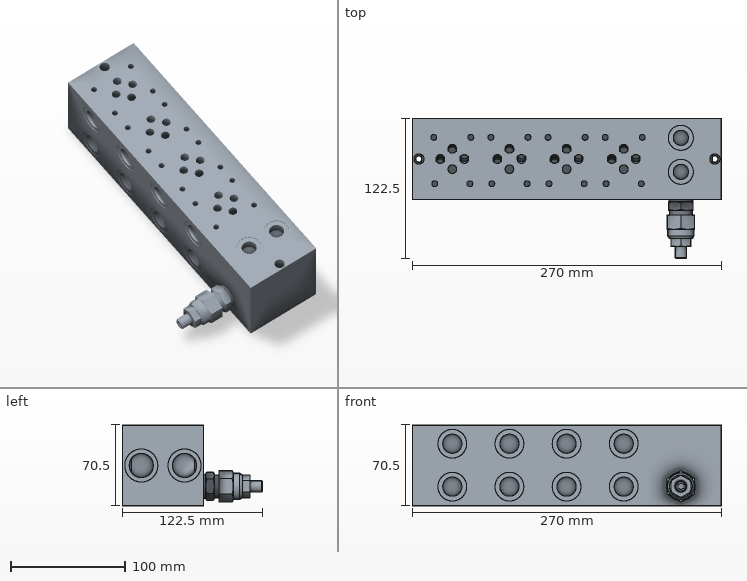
import cadquery as cq
import math

LENGTH = 270.0
DEPTH = 71.0
HEIGHT = 70.5
OVERALL_DEPTH = 122.5
VALVE_REACH = OVERALL_DEPTH - DEPTH
MID_Y = DEPTH / 2
MID_Z = HEIGHT / 2

STATION_PITCH = 50.0
FIRST_STATION_X = 34.8
VALVE_STATIONS = [FIRST_STATION_X + i * STATION_PITCH for i in range(4)]
RELIEF_X = FIRST_STATION_X + 4 * STATION_PITCH
RELIEF_Z = 17.0

SPOTFACE_DEPTH = 0.5
FRONT_PORT_D = 16.7
FRONT_SPOTFACE_D = 25.0
FRONT_PORT_DEPTH = 8.0
FRONT_PORT_ROWS = (16.7, 54.3)
END_PORT_D = 21.0
END_SPOTFACE_D = 29.0
END_PORT_DEPTH = 8.6
END_PORT_OFFSET = 19.0
END_POCKET_OFFSET = 8.6
END_POCKET_DEPTH = 13.5
TOP_PORT_D = 13.2
TOP_SPOTFACE_D = 22.0
TOP_PORT_DEPTH = 8.6
TOP_PORT_OFFSET = 14.8
TOP_PORT_MID_Y = 39.2

PASSAGE_D = 7.5
PASSAGE_DEPTH = 14.8
SUPPLY_OFFSET = 9.0
WORK_OFFSET = 10.5
SUPPLY_SHIFT = 2.2
KNEE_DEPTH = 9.5
KNEE_SHIFT = 2.0
LOWER_SHIFT = 2.2
SCREW_D = 5.0
SCREW_DEPTH = 13.5
REAR_SCREW = (16.2, 19.0)
FRONT_SCREW = (15.5, -21.5)

MOUNT_INSET = 5.7
MOUNT_BORE_D = 9.0
MOUNT_HOLE_D = 5.5
MOUNT_BORE_DEPTH = 40.5
MOUNT_STEP = 5.5
MOUNT_FLAT_OFFSET = 2.2

COLLAR_D = 21.0
LOCKNUT_START = 1.5
LOCKNUT_END = 9.7
LOCKNUT_CORNERS = 24.8
LOCKNUT_FACE_D = 20.5
BEVEL_ANGLE = math.radians(30)
NECK_D = 20.0
BODY_START = 13.5
BODY_HEX_END = 26.2
BODY_CORNERS = 27.5
SLEEVE_D = 23.2
SLEEVE_END = 31.5
CONE_END_D = 20.0
CAP_START = 34.0
CAP_END = 40.8
CAP_CORNERS = 20.0
CAP_FACE_D = 18.5
STEM_D = 10.0
STEM_CHAMFER = 0.8
SOCKET_CORNERS = 6.0
SOCKET_DEPTH = 3.2


def port(origin, inward, bore_d, bore_depth, spotface_d):
    """Blind bore with a shallow spotface around its mouth."""
    mouth = cq.Workplane(cq.Plane(origin=origin, normal=inward))
    bore = mouth.circle(bore_d / 2).extrude(bore_depth)
    return bore.union(mouth.circle(spotface_d / 2).extrude(SPOTFACE_DEPTH))


def vertical_hole(x, y, diameter, depth):
    """Cylinder going down from the top face."""
    top = cq.Workplane("XY", origin=(x, y, HEIGHT - depth))
    return top.circle(diameter / 2).extrude(depth)


def slanted_bore(x, y, top_z, depth, shift):
    """Round bore leaning by shift along Y over its depth, level at both ends."""
    axis = cq.Vector(0, shift, -depth)
    start = cq.Vector(x, y, top_z) - axis
    drill = cq.Solid.makeCylinder(PASSAGE_D / 2, 3 * axis.Length, start, axis)
    slab = cq.Workplane("XY", origin=(x, y, top_z - depth)).circle(2 * PASSAGE_D).extrude(depth)
    return slab.intersect(cq.Workplane(drill))


def work_passage(x, side):
    """Leaning passage that bends to a stronger lean below its knee."""
    lower_depth = PASSAGE_DEPTH - KNEE_DEPTH
    upper = slanted_bore(x, MID_Y, HEIGHT, KNEE_DEPTH, side * KNEE_SHIFT)
    knee_y = MID_Y + side * KNEE_SHIFT
    lower = slanted_bore(x, knee_y, HEIGHT - KNEE_DEPTH, lower_depth, side * LOWER_SHIFT)
    return upper.union(lower)


def end_port(side):
    """Gallery port on the left end; its outer edge is cut deeper behind a flat."""
    y = MID_Y + side * END_PORT_OFFSET
    opening = port((0, y, MID_Z), (1, 0, 0), END_PORT_D, END_PORT_DEPTH, END_SPOTFACE_D)
    edge_width = END_PORT_D / 2 - END_POCKET_OFFSET
    edge = cq.Workplane().box(END_POCKET_DEPTH, edge_width, END_PORT_D).translate(
        (END_POCKET_DEPTH / 2, y + side * (END_POCKET_OFFSET + edge_width / 2), MID_Z)
    )
    pocket = cq.Workplane("YZ", origin=(0, y, MID_Z)).circle(END_PORT_D / 2).extrude(END_POCKET_DEPTH)
    return opening.union(pocket.intersect(edge))


def mounting_hole(x, inner_side):
    """Counterbored through hole with a ledge on the side towards the block centre."""
    ledge_depth = MOUNT_BORE_DEPTH - MOUNT_STEP
    stepped = vertical_hole(x, MID_Y, MOUNT_BORE_D, MOUNT_BORE_DEPTH)
    stepped = stepped.union(vertical_hole(x, MID_Y, MOUNT_HOLE_D, HEIGHT))
    ledge_x = x + inner_side * (MOUNT_FLAT_OFFSET + MOUNT_BORE_D / 2)
    ledge_height = HEIGHT - ledge_depth
    ledge = cq.Workplane("XY", origin=(ledge_x, MID_Y, 0)).rect(MOUNT_BORE_D, 2 * MOUNT_BORE_D)
    return stepped.cut(ledge.extrude(ledge_height))


def valve_pattern(x):
    """Passages and screw holes for one directional valve."""
    cutter = slanted_bore(x, MID_Y + SUPPLY_OFFSET, HEIGHT, PASSAGE_DEPTH, -SUPPLY_SHIFT)
    cutter = cutter.union(vertical_hole(x, MID_Y - SUPPLY_OFFSET, PASSAGE_D, PASSAGE_DEPTH))
    for side in (-1, 1):
        cutter = cutter.union(work_passage(x + side * WORK_OFFSET, side))
        for screw_x, screw_y in (REAR_SCREW, FRONT_SCREW):
            screw = vertical_hole(x + side * screw_x, MID_Y + screw_y, SCREW_D, SCREW_DEPTH)
            cutter = cutter.union(screw)
    return cutter


def valve_section(start):
    """Plane across the relief valve, facing away from the block."""
    return cq.Workplane("XZ", origin=(RELIEF_X, -start, RELIEF_Z))


def cylinder(start, end, diameter):
    return valve_section(start).circle(diameter / 2).extrude(end - start)


def hexagon(start, end, corners):
    """Hexagonal prism with corners pointing up and down."""
    outline = valve_section(start).transformed(rotate=(0, 0, 30)).polygon(6, corners)
    return outline.extrude(end - start)


def turned_hexagon(start, end, corners, face_d, chamfered_faces):
    """Hexagonal prism whose corners are turned down to face_d at the chosen faces."""
    bevel = (corners - face_d) / 2
    blank = cylinder(start, end, corners).faces(chamfered_faces)
    blank = blank.chamfer(bevel * math.tan(BEVEL_ANGLE), bevel)
    return blank.intersect(hexagon(start, end, corners))


def relief_valve():
    valve = cylinder(-SPOTFACE_DEPTH, LOCKNUT_START, COLLAR_D)
    locknut = turned_hexagon(LOCKNUT_START, LOCKNUT_END, LOCKNUT_CORNERS, LOCKNUT_FACE_D, "<Y or >Y")
    body = turned_hexagon(BODY_START, BODY_HEX_END, BODY_CORNERS, SLEEVE_D, "<Y")
    valve = valve.union(locknut).union(body)
    valve = valve.union(cylinder(LOCKNUT_END, BODY_START, NECK_D))
    valve = valve.union(cylinder(BODY_HEX_END, SLEEVE_END, SLEEVE_D))
    cone = valve_section(SLEEVE_END).circle(SLEEVE_D / 2)
    cone = cone.workplane(offset=CAP_START - SLEEVE_END).circle(CONE_END_D / 2).loft()
    valve = valve.union(cone).union(turned_hexagon(CAP_START, CAP_END, CAP_CORNERS, CAP_FACE_D, "<Y"))
    stem = cylinder(CAP_END, VALVE_REACH, STEM_D).faces("<Y").chamfer(STEM_CHAMFER)
    socket = hexagon(VALVE_REACH - SOCKET_DEPTH, VALVE_REACH, SOCKET_CORNERS)
    return valve.union(stem.cut(socket))


block = cq.Workplane().box(LENGTH, DEPTH, HEIGHT, centered=False)

for station_x in VALVE_STATIONS:
    block = block.cut(valve_pattern(station_x))
    for row_z in FRONT_PORT_ROWS:
        mouth = (station_x, 0, row_z)
        block = block.cut(port(mouth, (0, 1, 0), FRONT_PORT_D, FRONT_PORT_DEPTH, FRONT_SPOTFACE_D))

for side in (-1, 1):
    block = block.cut(end_port(side))
    mouth = (RELIEF_X, TOP_PORT_MID_Y + side * TOP_PORT_OFFSET, HEIGHT)
    block = block.cut(port(mouth, (0, 0, -1), TOP_PORT_D, TOP_PORT_DEPTH, TOP_SPOTFACE_D))

block = block.cut(mounting_hole(MOUNT_INSET, 1))
block = block.cut(mounting_hole(LENGTH - MOUNT_INSET, -1))

relief_seat = valve_section(-SPOTFACE_DEPTH).circle(FRONT_SPOTFACE_D / 2).extrude(SPOTFACE_DEPTH)
result = block.cut(relief_seat).union(relief_valve())